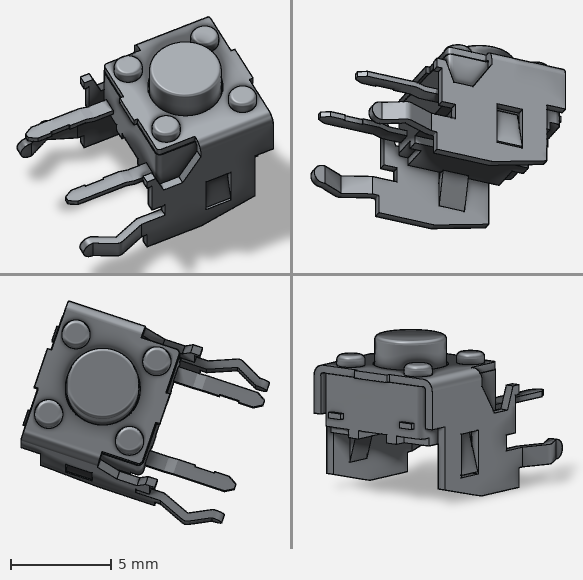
import cadquery as cq


body_half = 3.09
body_corner_radius = 0.29
body_bottom = -3.06
foot_bottom = -3.48
foot_gap_half = 0.89
foot_notch_x = 1.51
foot_notch_y = 2.49

cover_half = 3.05
cover_thickness = 0.38
cover_corner_radius = 0.2
tab_reach = 3.26
rear_tab_half = 1.02
front_tab_half = 0.79

button_radius = 1.79
button_height = 1.43
button_round = 0.2
button_hole_radius = 1.87
rivet_radius = 0.7
rivet_height = 0.52
rivet_round = 0.24
rivet_offset = 2.12

wall_outer = 3.73
wall_thickness = 0.43
wall_inner = wall_outer - wall_thickness
bend_radius = 0.56
bend_inner_radius = 0.14
bend_front = -0.99
wall_front = -3.71
wall_rear_step_y = 2.02
wall_rear_step_z = -2.5
wall_rear_bottom = -5.69
wall_bottom_rear = -0.95
cutout_top = -0.88
cutout_rear = -2.0
hook_root_y = -3.06
hook_root_z = -2.38
hook_tip_rear = -3.5
hook_top = -1.22
hook_bottom = -1.72
leg_notch_top = -3.63
leg_notch_y = -2.98
wall_bottom = -6.42
hook_front = -3.98

leg_top = -4.43
leg_height = 1.0
leg_bottom = leg_top - leg_height
leg_tip_radius = leg_height / 2
leg_tip_center = -7.01
leg_bend_start = -4.28
leg_bend_end = -6.98
leg_inner_bend_start = -4.35
leg_inner_bend_end = -6.92
leg_apex_y = -5.78
leg_apex_x = 4.35
leg_apex_radius = 0.37
leg_apex_inner_x = 3.88
leg_root_fillet = 0.07

window_half_width = 0.69
tongue_outer_foot = (3.68, -5.16)
tongue_inner_foot = (3.3, -5.27)
tongue_outer_top = 3.11
tongue_inner_top = 2.71

pin_x = 2.23
pin_half_width = 0.38
pin_thickness = 0.29
pin_top = -2.29
pin_step = 0.13
pin_step_start = -4.11
pin_step_end = -4.6
pin_rear = 3.3
pin_tip = -7.7
pin_taper_start = -7.27
pin_tip_half_width = 0.13
pin_notch_depth = 0.08
pin_notch_start = -5.5
pin_notch_end = -6.5


def box_between(x0, x1, y0, y1, z0, z1):
    return cq.Workplane("XY").box(x1 - x0, y1 - y0, z1 - z0, centered=False).translate((x0, y0, z0))


def with_mirror(shape):
    """The shape together with its mirror image across the plane X = 0."""
    return shape.union(shape.mirror("YZ"))


def make_body():
    side = 2 * body_half
    housing = (
        cq.Workplane("XY").workplane(offset=body_bottom)
        .rect(side, side).extrude(-cover_thickness - body_bottom)
        .edges("|Z").fillet(body_corner_radius)
    )
    long_part = box_between(foot_gap_half, foot_notch_x, -body_half, body_half, foot_bottom, body_bottom)
    side_part = box_between(foot_notch_x, body_half, -foot_notch_y, foot_notch_y, foot_bottom, body_bottom)
    return housing.union(with_mirror(long_part.union(side_part)))


def make_cover():
    side = 2 * cover_half
    plate = (
        cq.Workplane("XY").rect(side, side).extrude(-cover_thickness)
        .edges("|Z and <Y").fillet(cover_corner_radius)
    )
    rear_tab = box_between(-rear_tab_half, rear_tab_half, 0, tab_reach, -cover_thickness, 0)
    front_tab = box_between(-front_tab_half, front_tab_half, -tab_reach, 0, -cover_thickness, 0)
    hole = cq.Workplane("XY").circle(button_hole_radius).extrude(-cover_thickness)
    return plate.union(rear_tab).union(front_tab).cut(hole)


def make_button():
    return (
        cq.Workplane("XY").workplane(offset=-cover_thickness)
        .circle(button_radius).extrude(button_height + cover_thickness)
        .faces(">Z").edges().fillet(button_round)
    )


def make_rivets():
    return (
        cq.Workplane("XY").rect(2 * rivet_offset, 2 * rivet_offset, forConstruction=True).vertices()
        .circle(rivet_radius).extrude(rivet_height)
        .faces(">Z").edges().fillet(rivet_round)
    )


def make_bend():
    """Rounded transition from the cover plate down to the +X wall."""
    bend_x = wall_outer - bend_radius
    section = (
        cq.Workplane("XZ", origin=(0, cover_half, 0))
        .moveTo(cover_half, 0)
        .lineTo(bend_x, 0)
        .radiusArc((wall_outer, -bend_radius), bend_radius)
        .lineTo(wall_inner, -bend_radius)
        .radiusArc((wall_inner - bend_inner_radius, -cover_thickness), -bend_inner_radius)
        .lineTo(cover_half, -cover_thickness)
        .close()
    )
    return section.extrude(cover_half - bend_front)


def make_wall():
    """+X side wall with its forward hook and the window for the tongue."""
    outline = [
        (cover_half, -bend_radius),
        (bend_front, -bend_radius),
        (bend_front, cutout_top),
        (cutout_rear, hook_root_z),
        (hook_root_y, hook_root_z),
        (hook_tip_rear, hook_top),
        (hook_front, hook_top),
        (hook_front, hook_bottom),
        (wall_front, hook_bottom),
        (wall_front, leg_notch_top),
        (leg_notch_y, leg_notch_top),
        (leg_notch_y, leg_top),
        (hook_front, leg_top),
        (hook_front, wall_bottom),
        (wall_bottom_rear, wall_bottom),
        (wall_rear_step_y, wall_rear_bottom),
        (wall_rear_step_y, wall_rear_step_z),
        (cover_half, wall_rear_step_z),
    ]
    wall = cq.Workplane("YZ", origin=(wall_inner, 0, 0)).polyline(outline).close().extrude(wall_thickness)
    window = box_between(
        wall_inner, wall_outer, -window_half_width, window_half_width, tongue_inner_foot[1], body_bottom
    )
    return wall.cut(window)


def make_tongue():
    section = [
        tongue_inner_foot,
        tongue_outer_foot,
        (tongue_outer_top, body_bottom),
        (tongue_inner_top, body_bottom),
    ]
    return (
        cq.Workplane("XZ").polyline(section).close()
        .extrude(window_half_width, both=True)
    )


def make_leg():
    """Forward spring leg of the +X wall, bent outward and back with a round tip."""
    plan = [
        (wall_outer, hook_front),
        (wall_outer, leg_bend_start),
        (leg_apex_x, leg_apex_y),
        (wall_outer, leg_bend_end),
        (wall_outer, leg_tip_center),
        (wall_inner, leg_tip_center),
        (wall_inner, leg_inner_bend_end),
        (leg_apex_inner_x, leg_apex_y),
        (wall_inner, leg_inner_bend_start),
        (wall_inner, hook_front),
    ]
    strip = (
        cq.Workplane("XY").workplane(offset=leg_bottom)
        .polyline(plan).close().extrude(leg_height)
        .edges("|Z and >X").fillet(leg_apex_radius)
    )
    tip = (
        cq.Workplane("YZ", origin=(wall_inner, leg_tip_center, leg_bottom))
        .threePointArc((-leg_tip_radius, leg_tip_radius), (0, leg_height))
        .close().extrude(wall_thickness)
    )
    root_fillet = (
        cq.Workplane("YZ", origin=(wall_inner, 0, 0))
        .moveTo(hook_front, leg_bottom)
        .lineTo(hook_front - leg_root_fillet, leg_bottom)
        .radiusArc((hook_front, leg_bottom - leg_root_fillet), leg_root_fillet)
        .close().extrude(wall_thickness)
    )
    return strip.union(tip).union(root_fillet)


def make_pin():
    """+X contact pin: a flat strip with one step, a notch on its inner edge and a tapered tip."""
    bottom = pin_top - pin_thickness
    side_profile = [
        (pin_rear, pin_top),
        (pin_step_start, pin_top),
        (pin_step_end, pin_top + pin_step),
        (pin_tip, pin_top + pin_step),
        (pin_tip, bottom + pin_step),
        (pin_step_end, bottom + pin_step),
        (pin_step_start, bottom),
        (pin_rear, bottom),
    ]
    inner = pin_x - pin_half_width
    outer = pin_x + pin_half_width
    plan = [
        (outer, pin_rear),
        (outer, pin_taper_start),
        (pin_x + pin_tip_half_width, pin_tip),
        (pin_x - pin_tip_half_width, pin_tip),
        (inner, pin_taper_start),
        (inner, pin_notch_end),
        (inner + pin_notch_depth, pin_notch_end),
        (inner + pin_notch_depth, pin_notch_start),
        (inner, pin_notch_start),
        (inner, pin_rear),
    ]
    strip = cq.Workplane("YZ", origin=(inner, 0, 0)).polyline(side_profile).close().extrude(outer - inner)
    outline = (
        cq.Workplane("XY").workplane(offset=bottom)
        .polyline(plan).close().extrude(pin_thickness + pin_step)
    )
    return strip.intersect(outline)


side_frame = make_bend().union(make_wall()).union(make_tongue()).union(make_leg())

result = (
    make_body()
    .union(make_cover())
    .union(make_button())
    .union(make_rivets())
    .union(with_mirror(side_frame))
    .union(with_mirror(make_pin()))
)